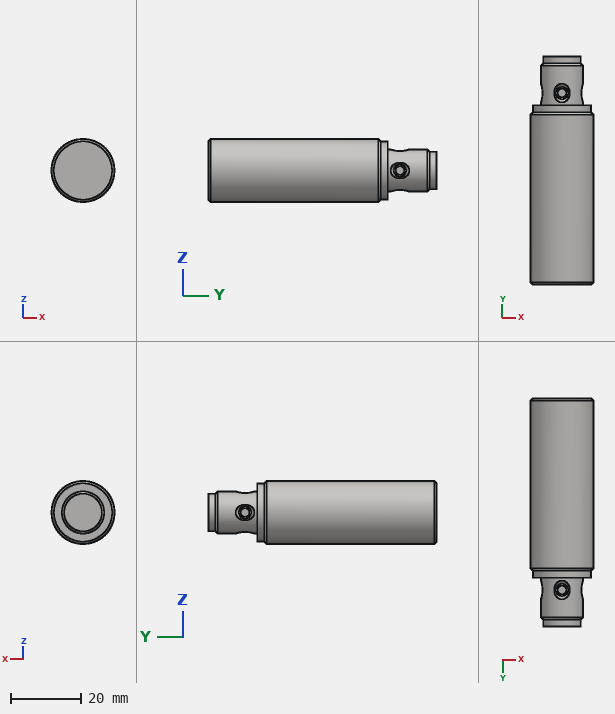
import cadquery as cq

total_length = 65.0
neck_length = 13.9
collar_length = 2.0
tip_length = 2.0
neck_chamfer = 0.65

body_radius = 18.0 / 2
neck_radius = 12.0 / 2
tip_radius = neck_radius - neck_chamfer

body_chamfer_depth = 0.7
body_chamfer_length = 0.7
collar_radius = body_radius - body_chamfer_depth

socket_count = 4
socket_from_tip = 10.45
socket_mouth_radius = 2.65
socket_seat_radius = 1.75
socket_cone_depth = 1.0
pilot_radius = 1.25
pilot_depth = 0.2

collar_end = total_length - neck_length
body_end = collar_end - collar_length
tip_start = total_length - tip_length


def make_turned_body():
    """Revolve the half outline (radius, Y) about the Y axis."""
    outline = [
        (0, 0),
        (collar_radius, 0),
        (body_radius, body_chamfer_length),
        (body_radius, body_end - body_chamfer_length),
        (collar_radius, body_end),
        (collar_radius, collar_end),
        (neck_radius, collar_end),
        (neck_radius, tip_start - neck_chamfer),
        (tip_radius, tip_start),
        (tip_radius, total_length),
        (0, total_length),
    ]
    return cq.Workplane("XY").polyline(outline).close().revolve(360, (0, 0, 0), (0, 1, 0))


def make_socket_cutter():
    """Cone with a flat seat and a central pilot hole, opening toward +Z."""
    seat_height = neck_radius - socket_cone_depth
    pilot_height = seat_height - pilot_depth
    outline = [
        (0, pilot_height),
        (pilot_radius, pilot_height),
        (pilot_radius, seat_height),
        (socket_seat_radius, seat_height),
        (socket_mouth_radius, neck_radius),
        (0, neck_radius),
    ]
    cutter = cq.Workplane("XZ").polyline(outline).close().revolve(360, (0, 0, 0), (0, 1, 0))
    return cutter.translate((0, total_length - socket_from_tip, 0))


result = make_turned_body()
socket_cutter = make_socket_cutter()
for index in range(socket_count):
    angle = index * 360 / socket_count
    result = result.cut(socket_cutter.rotate((0, 0, 0), (0, 1, 0), angle))